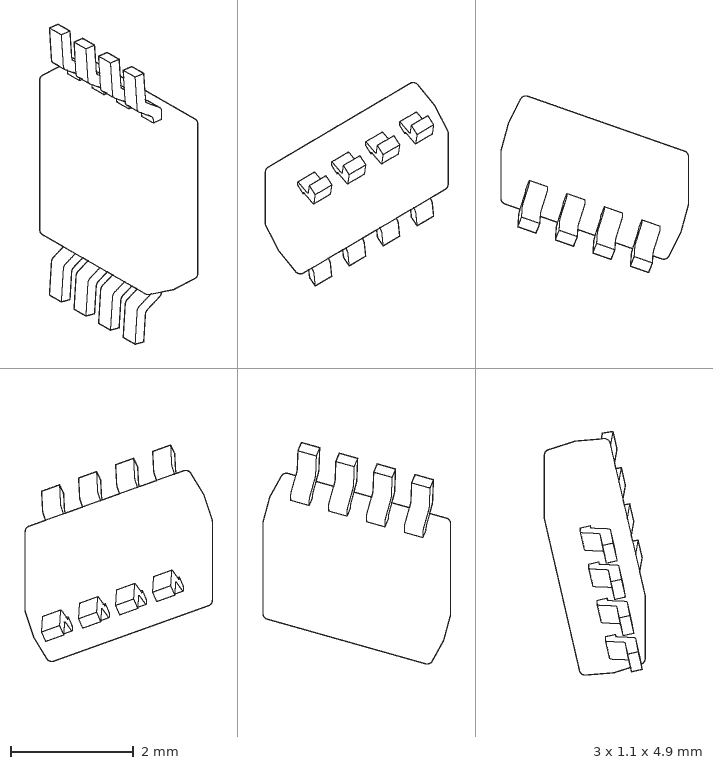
import cadquery as cq
import math

body_side = 3.0
body_depth = 1.1
draft_angle = 5.0
body_fillet = 0.1

overall_height = 4.9
leads_per_row = 4
lead_pitch = 0.65
lead_width = 0.32
lead_root_thickness = 0.17
lead_thickness = 0.18
lead_embed = 0.1
bend_radius = 0.1
foot_tilt = math.radians(4.0)
ramp_angle = math.radians(32.0)
back_bend_z = 1.7
front_bend_z = 1.59

half_depth = body_depth / 2
half_side = body_side / 2
half_height = overall_height / 2


def body_half():
    """The -Y half of the body, rounded everywhere except around the parting plane."""
    half = (
        cq.Workplane("XZ")
        .rect(body_side, body_side)
        .extrude(half_depth, taper=draft_angle)
    )
    return half.edges("not(>Y)").fillet(body_fillet)


def second_bend(first_bend, foot_end):
    """Point (y, z) where the ramp rising from first_bend meets the foot line down from foot_end."""
    bend_y, bend_z = first_bend
    end_y, end_z = foot_end
    ramp_slope = math.tan(ramp_angle)
    foot_slope = math.tan(foot_tilt)
    rise = ramp_slope * (bend_y - end_y - foot_slope * end_z)
    z = (bend_z + rise) / (1 - ramp_slope * foot_slope)
    y = end_y + foot_slope * (end_z - z)
    return y, z


def upper_lead():
    """One lead of the +Z row centred on X = 0; its foot ends square to its own tilt."""
    root_z = half_side - lead_embed
    back_bend = (0, back_bend_z)
    front_bend = (-lead_root_thickness, front_bend_z)
    front_end = (-half_depth, half_height - lead_thickness * math.sin(foot_tilt))
    back_end = (-half_depth + lead_thickness * math.cos(foot_tilt), half_height)
    outline = [
        (0, root_z),
        back_bend,
        second_bend(back_bend, back_end),
        back_end,
        front_end,
        second_bend(front_bend, front_end),
        front_bend,
        (-lead_root_thickness, root_z),
    ]
    lead = cq.Workplane("YZ").polyline(outline).close().extrude(lead_width / 2, both=True)

    bend_zone = cq.selectors.BoxSelector(
        (-lead_width, -body_depth, half_side),
        (lead_width, body_depth, half_height - lead_thickness),
    )
    return lead.edges("|X").edges(bend_zone).fillet(bend_radius)


front_half = body_half()
result = front_half.union(front_half.mirror("XZ"))

row_start = -lead_pitch * (leads_per_row - 1) / 2
for index in range(leads_per_row):
    lead = upper_lead().translate((row_start + index * lead_pitch, 0, 0))
    result = result.union(lead).union(lead.mirror("XY"))